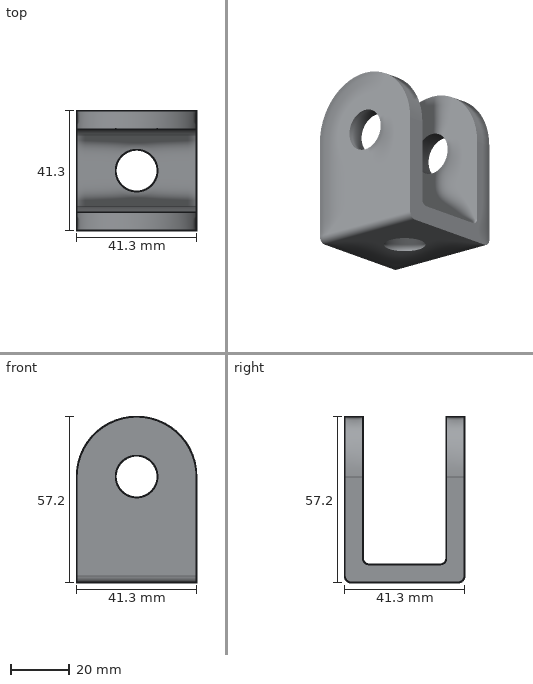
import cadquery as cq

WIDTH = 41.275
HEIGHT = 57.15
THICKNESS = 6.35
HOLE_DIAMETER = 14.2875
OUTER_BEND_RADIUS = 2.38
INNER_BEND_RADIUS = 2.0

HALF_WIDTH = WIDTH / 2
ARM_GAP = WIDTH - 2 * THICKNESS
PIN_HEIGHT = HEIGHT - HALF_WIDTH


def make_channel():
    """U-shaped channel running along X, open at the top, with rounded bends."""
    outer = (
        cq.Workplane("XY")
        .box(WIDTH, WIDTH, HEIGHT, centered=(True, True, False))
        .edges("|X and <Z")
        .fillet(OUTER_BEND_RADIUS)
    )
    gap = (
        cq.Workplane("XY", origin=(0, 0, THICKNESS))
        .box(WIDTH, ARM_GAP, HEIGHT - THICKNESS, centered=(True, True, False))
        .edges("|X and <Z")
        .fillet(INNER_BEND_RADIUS)
    )
    return outer.cut(gap)


def make_arm_outline():
    """Prism along Y that gives the arms their semicircular tops."""
    return (
        cq.Workplane("XZ", origin=(0, HALF_WIDTH, 0))
        .moveTo(-HALF_WIDTH, 0)
        .lineTo(HALF_WIDTH, 0)
        .lineTo(HALF_WIDTH, PIN_HEIGHT)
        .threePointArc((0, HEIGHT), (-HALF_WIDTH, PIN_HEIGHT))
        .close()
        .extrude(WIDTH)
    )


def make_pin_hole():
    """Cylinder along Y through both arms."""
    return (
        cq.Workplane("XZ", origin=(0, HALF_WIDTH, PIN_HEIGHT))
        .circle(HOLE_DIAMETER / 2)
        .extrude(WIDTH)
    )


def make_base_hole():
    """Cylinder along Z through the middle of the base."""
    return cq.Workplane("XY").circle(HOLE_DIAMETER / 2).extrude(THICKNESS)


result = (
    make_channel()
    .intersect(make_arm_outline())
    .cut(make_pin_hole())
    .cut(make_base_hole())
)